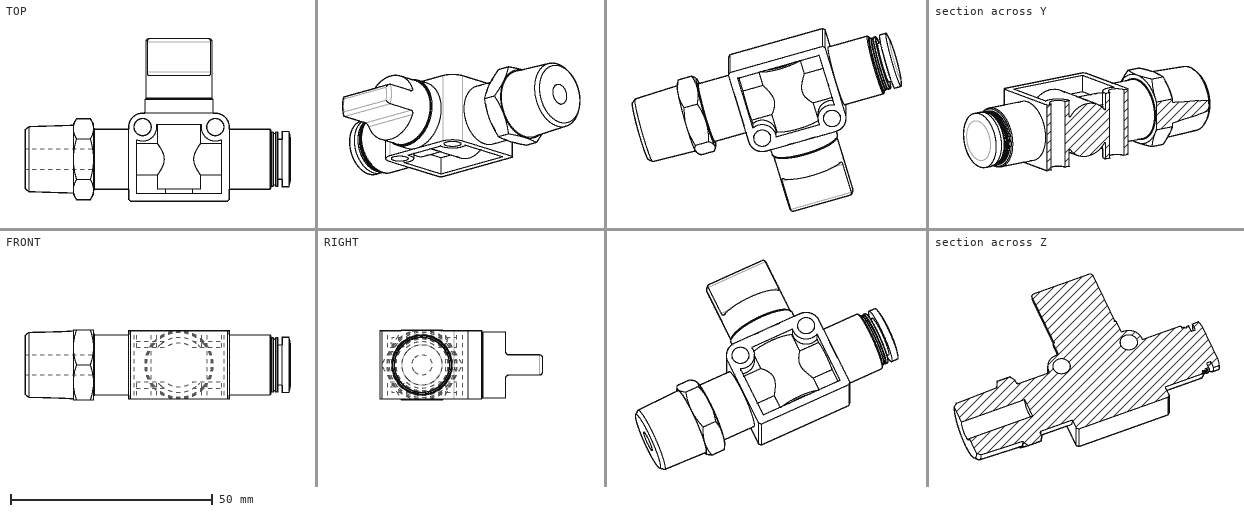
import cadquery as cq
import math


overall_length = 66.0
bore_diameter = 5.0
thread_end = 12.0
thread_tip_diameter = 16.25
thread_taper = 1 / 16
thread_chamfer_length = 0.9
thread_chamfer_depth = 0.8
hex_end = 17.0
hex_sides = 6
hex_across_flats = 17.5
hex_chamfer_angle = 30.0
seat_diameter = 15.3
seat_end = 17.2
tube_diameter = 15.0
tube_end = 61.2
tube_chamfer = 0.25

ring_diameter = 13.5
ring_chamfer = 0.1
ring_groove_depth = 0.3
ring_spans = [(tube_end, 61.85), (62.25, 62.95)]
neck_diameter = 10.0
flange_diameter = 13.8
flange_start = 63.95
flange_rim_end = 65.6
flange_crown_setback = 0.165
flange_crown_radius = 6.15

body_center = 38.3
body_width = 25.1
body_bottom = -10.5
body_top = 11.5
body_height = 17.0
lug_radius = 3.5
lug_hole_diameter = 4.2
bottom_chamfer = 0.5

side_wall = 2.0
bottom_wall = 2.0
top_wall = 2.85
pocket_depth = 4.2
passage_diameter = 11.6
stem_housing_diameter = 13.7
stem_housing_bottom = -7.45
stem_tip_diameter = 10.95

collar_diameter = 17.0
collar_end = 15.0
knob_diameter = 16.5
knob_end = 30.0
joint_chamfer = 0.2
blade_thickness = 5.1
blade_length = 9.25
blade_root_fillet = 0.85
blade_tip_fillet = 0.85

pocket_width = body_width - 2 * side_wall
pocket_bottom = body_bottom + bottom_wall
pocket_top = body_top - top_wall
lug_y = body_top - lug_radius
lug_offset = body_width / 2 - lug_radius
lug_centers = [(body_center - lug_offset, lug_y), (body_center + lug_offset, lug_y)]


def x_cylinder(diameter, start, end):
    """Cylinder on the flow axis."""
    return cq.Workplane("YZ", origin=(start, 0, 0)).circle(diameter / 2).extrude(end - start)


def y_cylinder(diameter, start, end):
    """Cylinder on the stem axis; the XZ plane faces -Y, so it extrudes backwards."""
    return cq.Workplane("XZ", origin=(body_center, start, 0)).circle(diameter / 2).extrude(start - end)


def box_between(x_center, width, y_start, y_end, z_start, z_end):
    """Box centred on x_center that fills the given Y and Z ranges."""
    base = cq.Workplane("XY", origin=(x_center, (y_start + y_end) / 2, z_start))
    return base.rect(width, y_end - y_start).extrude(z_end - z_start)


def make_thread():
    """Smooth tapered pipe thread body with a chamfered tip."""
    tip_radius = thread_tip_diameter / 2
    root_radius = tip_radius + (thread_end - thread_chamfer_length) * thread_taper / 2
    outline = (
        cq.Workplane("XY")
        .moveTo(0, 0)
        .lineTo(0, tip_radius - thread_chamfer_depth)
        .lineTo(thread_chamfer_length, tip_radius)
        .lineTo(thread_end, root_radius)
        .lineTo(thread_end, 0)
        .close()
    )
    return outline.revolve(360, (0, 0, 0), (1, 0, 0))


def make_hex():
    """Hexagon with flats facing +Z and -Z, its corners cut by a cone at both ends."""
    corner_diameter = hex_across_flats / math.cos(math.pi / hex_sides)
    corner_cut = (corner_diameter - hex_across_flats) / 2
    length = hex_end - thread_end
    hexagon = cq.Workplane("YZ", origin=(thread_end, 0, 0)).polygon(hex_sides, corner_diameter)
    hexagon = hexagon.extrude(length)
    envelope = x_cylinder(corner_diameter, thread_end, hex_end)
    cut_length = corner_cut * math.tan(math.radians(hex_chamfer_angle))
    envelope = envelope.faces("<X or >X").chamfer(cut_length, corner_cut)
    return hexagon.intersect(envelope)


def make_sleeve():
    """Two rings, a neck and a flange with a crowned end face."""
    crown_point = (overall_length - flange_crown_setback, flange_crown_radius)
    sleeve = x_cylinder(neck_diameter, tube_end, flange_start)
    sleeve = sleeve.union(x_cylinder(ring_diameter - 2 * ring_groove_depth, tube_end, ring_spans[-1][0]))
    for start, end in ring_spans:
        sleeve = sleeve.union(x_cylinder(ring_diameter, start, end).edges().chamfer(ring_chamfer))
    flange = (
        cq.Workplane("XY")
        .moveTo(flange_start, 0)
        .lineTo(flange_start, flange_diameter / 2)
        .lineTo(flange_rim_end, flange_diameter / 2)
        .threePointArc(crown_point, (overall_length, neck_diameter / 2))
        .lineTo(overall_length, 0)
        .close()
        .revolve(360, (0, 0, 0), (1, 0, 0))
    )
    return sleeve.union(flange)


def make_tubes():
    """Round tubes on both sides of the body, kept clear of the pockets inside it."""
    tube = x_cylinder(tube_diameter, hex_end, tube_end).faces(">X").chamfer(tube_chamfer)
    return tube.cut(make_block())


def make_block():
    """Plain block with the outer size of the body."""
    half_height = body_height / 2
    return box_between(body_center, body_width, body_bottom, body_top, -half_height, half_height)


def make_body():
    """Block with rounded lug corners, chamfered bottom corners and a pocket in each broad face."""
    half_height = body_height / 2
    body = make_block()
    body = body.edges("|Z and >Y").fillet(lug_radius)
    body = body.edges("|Z and <Y").chamfer(bottom_chamfer)
    lugs = cq.Workplane("XY", origin=(0, 0, -half_height)).pushPoints(lug_centers)
    lugs = lugs.circle(lug_radius).extrude(body_height)
    housings = make_housings()
    floor = half_height - pocket_depth
    for z_start, z_end in [(floor, half_height), (-half_height, -floor)]:
        pocket = box_between(body_center, pocket_width, pocket_bottom, pocket_top, z_start, z_end)
        body = body.cut(pocket.cut(lugs).cut(housings))
    return body


def make_housings():
    """Round housings of the flow passage and of the stem, standing in the pockets."""
    left = body_center - body_width / 2
    passage = x_cylinder(passage_diameter, left, left + body_width)
    stem = y_cylinder(stem_housing_diameter, stem_housing_bottom, body_top)
    stem_tip = y_cylinder(stem_tip_diameter, body_bottom, stem_housing_bottom)
    return passage.union(stem).union(stem_tip)


def make_knob():
    """Collar and round knob, with two flats that leave a finger blade."""
    collar = y_cylinder(collar_diameter, body_top - top_wall / 2, collar_end)
    collar = collar.faces(">Y").chamfer(joint_chamfer)
    knob = y_cylinder(knob_diameter, collar_end, knob_end)
    knob = knob.faces("<Y").chamfer(joint_chamfer)
    shoulder = knob_end - blade_length
    for side in (-1, 1):
        z_range = sorted((side * blade_thickness / 2, side * knob_diameter))
        flat = box_between(body_center, 2 * knob_diameter, shoulder, knob_end + knob_diameter, *z_range)
        inner_edge = "<Y and " + ("<Z" if side > 0 else ">Z")
        knob = knob.cut(flat.edges(inner_edge).fillet(blade_root_fillet))
    knob = knob.faces(">Y").fillet(blade_tip_fillet)
    return collar.union(knob)


seat = x_cylinder(seat_diameter, hex_end, seat_end)
lug_holes = cq.Workplane("XY", origin=(0, 0, -body_height / 2)).pushPoints(lug_centers)
lug_holes = lug_holes.circle(lug_hole_diameter / 2).extrude(body_height)

result = make_body()
for piece in (make_tubes(), make_thread(), make_hex(), seat, make_sleeve(), make_knob()):
    result = result.union(piece)
result = result.cut(lug_holes).cut(x_cylinder(bore_diameter, 0, hex_end))